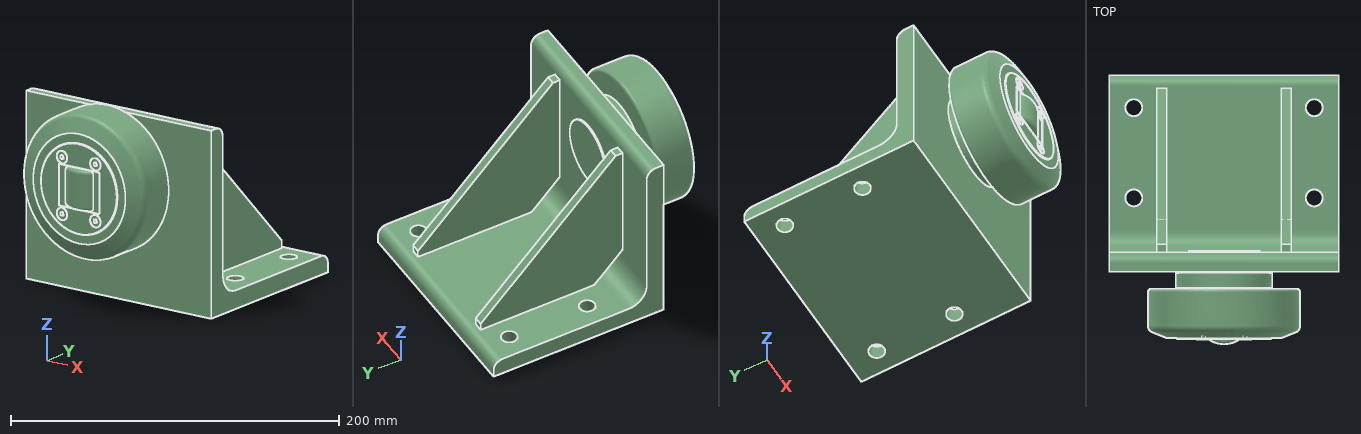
import cadquery as cq
bracket_width = 140.0
leg_length = 119.9
leg_thickness = 12.0
root_radius = 13.0
toe_radius = 6.5

hole_diameter = 10.2
hole_spacing = 55.0
hole_row_offset = 109.9
first_hole_y = 45.1

gusset_thickness = 5.9
gusset_gap = 69.9
gusset_leg = 100.0
gusset_tip = 5.0
gusset_corner_cut = 20.0

axis_height = 80.0
neck_diameter = 59.0
neck_relief_diameter = 55.3
neck_relief_length = 0.5
wheel_back = 10.2
wheel_front = 40.3
wheel_radius = 46.4
wheel_crown = 0.08
wheel_back_fillet = 2.0
wheel_front_fillet = 4.0
wheel_face_radius = 35.0
wheel_cone_depth = 4.6

cap_diameter = 58.0
cap_front = 40.8
cap_chamfer = 0.41
window_width = 30.7
window_height = 26.5
window_depth = 0.7
window_corner_radius = 0.8

roller_front = 44.1
roller_radius = 16.4
roller_length = 25.9
roller_fillet = 2.3
roller_crown = 0.08

screw_diameter = 7.9
screw_socket_diameter = 2.5
screw_socket_depth = 2.5
screw_spacing_x = 25.3
screw_spacing_z = 36.2
screw_front = 41.2

pin_diameter = 43.3
pin_projection = 0.8

rim_tolerance = 0.2


def disc(diameter, y_back, y_front, x=0, z=axis_height):
    """Cylinder along Y reaching from y_back to the more negative y_front."""
    base = cq.Workplane("XZ", origin=(x, y_back, z))
    return base.circle(diameter / 2).extrude(y_back - y_front)


def make_bracket():
    bracket = (
        cq.Workplane("YZ")
        .polyline([
            (0, 0),
            (leg_length, 0),
            (leg_length, leg_thickness),
            (leg_thickness, leg_thickness),
            (leg_thickness, leg_length),
            (0, leg_length),
        ])
        .close()
        .extrude(bracket_width / 2, both=True)
    )

    def edge_at(y, z):
        return cq.selectors.NearestToPointSelector((0, y, z))

    bracket = bracket.edges(edge_at(leg_thickness, leg_thickness)).fillet(root_radius)
    bracket = bracket.edges(edge_at(leg_length, leg_thickness)).fillet(toe_radius)
    bracket = bracket.edges(edge_at(leg_thickness, leg_length)).fillet(toe_radius)
    holes = (
        cq.Workplane("XY", origin=(0, first_hole_y + hole_spacing / 2, 0))
        .rarray(hole_row_offset, hole_spacing, 2, 2)
        .circle(hole_diameter / 2)
        .extrude(leg_thickness)
    )
    return bracket.cut(holes)


def make_gusset(x_start):
    inner = leg_thickness
    outer = leg_thickness + gusset_leg
    return (
        cq.Workplane("YZ", origin=(x_start, 0, 0))
        .polyline([
            (inner + gusset_corner_cut, inner),
            (outer, inner),
            (outer, inner + gusset_tip),
            (inner + gusset_tip, outer),
            (inner, outer),
            (inner, inner + gusset_corner_cut),
        ])
        .close()
        .extrude(gusset_thickness)
    )


def make_wheel():
    """Slightly crowned wheel with a conical front rim, revolved about its Y axis."""
    edge_radius = wheel_radius - wheel_crown
    cone_start = wheel_front - wheel_cone_depth
    middle = (wheel_back + cone_start) / 2
    wheel = (
        cq.Workplane("XY", origin=(0, 0, axis_height))
        .moveTo(0, -wheel_back)
        .lineTo(edge_radius, -wheel_back)
        .threePointArc((wheel_radius, -middle), (edge_radius, -cone_start))
        .lineTo(wheel_face_radius, -wheel_front)
        .lineTo(0, -wheel_front)
        .close()
        .revolve(360, (0, 0, 0), (0, 1, 0))
    )
    wheel = wheel.faces(">Y").edges().fillet(wheel_back_fillet)
    front_rim = cq.selectors.BoxSelector(
        (-wheel_radius, -cone_start - rim_tolerance, axis_height - wheel_radius),
        (wheel_radius, -cone_start + rim_tolerance, axis_height + wheel_radius),
    )
    return wheel.edges("%CIRCLE").edges(front_rim).fillet(wheel_front_fillet)


def make_side_roller():
    """Slightly crowned roller with rounded ends, revolved about a Z axis."""
    half_length = roller_length / 2
    edge_radius = roller_radius - roller_crown
    return (
        cq.Workplane("XZ", origin=(0, roller_radius - roller_front, axis_height))
        .moveTo(0, -half_length)
        .lineTo(edge_radius, -half_length)
        .threePointArc((roller_radius, 0), (edge_radius, half_length))
        .lineTo(0, half_length)
        .close()
        .revolve(360, (0, 0, 0), (0, 1, 0))
        .edges("%CIRCLE")
        .fillet(roller_fillet)
    )


def make_cap():
    return disc(cap_diameter, -wheel_back, -cap_front).faces("<Y").chamfer(cap_chamfer)


def make_window():
    return (
        cq.Workplane("XZ", origin=(0, -cap_front, axis_height))
        .rect(window_width, window_height)
        .extrude(-window_depth)
        .edges("|Y")
        .fillet(window_corner_radius)
    )


def make_neck():
    """Neck between plate and wheel, set off from both by a narrow relief."""
    core = disc(neck_relief_diameter, 0, -wheel_back)
    return core.union(disc(neck_diameter, -neck_relief_length, neck_relief_length - wheel_back))


result = make_bracket()
for x_start in (-gusset_gap / 2 - gusset_thickness, gusset_gap / 2):
    result = result.union(make_gusset(x_start))
result = result.union(disc(pin_diameter, leg_thickness + pin_projection, 0))
result = result.union(make_neck())
result = result.union(make_wheel())
result = result.union(make_cap())
result = result.cut(make_window())
result = result.union(make_side_roller())

socket_floor = screw_front - screw_socket_depth
for side_x in (-1, 1):
    for side_z in (-1, 1):
        x = side_x * screw_spacing_x / 2
        z = axis_height + side_z * screw_spacing_z / 2
        result = result.union(disc(screw_diameter, -wheel_front, -screw_front, x, z))
        result = result.cut(disc(screw_socket_diameter, -socket_floor, -screw_front, x, z))